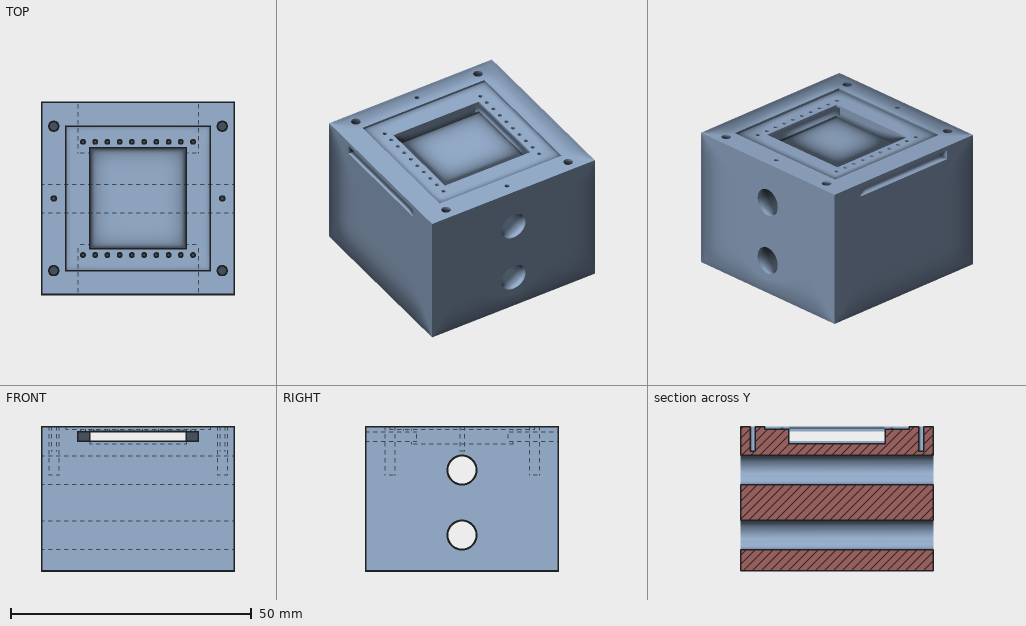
import cadquery as cq

BLOCK_SIDE = 40.0
BLOCK_HEIGHT = 30.0

RECESS_SIDE = 30.0
RECESS_DEPTH = 0.5

PASSAGE_HEIGHT = 2.0
PASSAGE_ROOF = 1.0
PASSAGE_MOUTH_WIDTH = 25.0
PASSAGE_THROAT_WIDTH = 20.0
THROAT_LENGTH = 19.0

WINDOW_LENGTH = 21.0
FLOOR_RECESS_DEPTH = 0.5

PIN_DIAMETER = 0.86
PIN_PITCH = 2.54
PINS_PER_ROW = 10
PIN_ROW_SPACING = 23.5

SCREW_DIAMETER = 2.0
SCREW_DEPTH = 10.0
SCREW_SPACING_Y = 30.0
LOCATOR_DIAMETER = 1.0
LOCATOR_DEPTH = 5.0
EDGE_HOLE_SPACING_X = 35.0

BORE_DIAMETER = 6.0
BORE_HEIGHTS = (7.5, 21.0)

passage_top = BLOCK_HEIGHT - PASSAGE_ROOF
passage_floor = passage_top - PASSAGE_HEIGHT
recess_floor = BLOCK_HEIGHT - RECESS_DEPTH


def box_between(size_x, size_y, bottom, top):
    """Box centred in X and Y that spans the given heights."""
    return cq.Workplane("XY", origin=(0, 0, bottom)).rect(size_x, size_y).extrude(top - bottom)


def holes_down(points, diameter, top, bottom):
    """Vertical cylinders at the given XY points, from top down to bottom."""
    plane = cq.Workplane("XY", origin=(0, 0, bottom))
    return plane.pushPoints(points).circle(diameter / 2).extrude(top - bottom)


def top_recess():
    return box_between(RECESS_SIDE, RECESS_SIDE, recess_floor, BLOCK_HEIGHT)


def passage():
    """Full-length passage with a narrower throat in the middle."""
    wide = box_between(PASSAGE_MOUTH_WIDTH, BLOCK_SIDE, passage_floor, passage_top)
    wide_middle = box_between(PASSAGE_MOUTH_WIDTH, THROAT_LENGTH, passage_floor, passage_top)
    throat = box_between(PASSAGE_THROAT_WIDTH, THROAT_LENGTH, passage_floor, passage_top)
    return wide.cut(wide_middle).union(throat)


def window():
    """Opening in the passage roof plus the recess below it in the passage floor."""
    roof_opening = box_between(PASSAGE_THROAT_WIDTH, WINDOW_LENGTH, passage_top, BLOCK_HEIGHT)
    floor_recess = box_between(
        PASSAGE_THROAT_WIDTH, WINDOW_LENGTH, passage_floor - FLOOR_RECESS_DEPTH, passage_floor
    )
    return roof_opening.union(floor_recess)


def pin_holes():
    first_x = -PIN_PITCH * (PINS_PER_ROW - 1) / 2
    points = [
        (first_x + index * PIN_PITCH, side * PIN_ROW_SPACING / 2)
        for side in (-1, 1)
        for index in range(PINS_PER_ROW)
    ]
    return holes_down(points, PIN_DIAMETER, recess_floor, passage_top)


def screw_holes():
    points = [
        (side_x * EDGE_HOLE_SPACING_X / 2, side_y * SCREW_SPACING_Y / 2)
        for side_x in (-1, 1)
        for side_y in (-1, 1)
    ]
    return holes_down(points, SCREW_DIAMETER, BLOCK_HEIGHT, BLOCK_HEIGHT - SCREW_DEPTH)


def locator_holes():
    points = [(side * EDGE_HOLE_SPACING_X / 2, 0) for side in (-1, 1)]
    return holes_down(points, LOCATOR_DIAMETER, BLOCK_HEIGHT, BLOCK_HEIGHT - LOCATOR_DEPTH)


def cross_bores():
    plane = cq.Workplane("YZ", origin=(-BLOCK_SIDE / 2, 0, 0))
    centres = [(0, height) for height in BORE_HEIGHTS]
    return plane.pushPoints(centres).circle(BORE_DIAMETER / 2).extrude(BLOCK_SIDE)


result = (
    box_between(BLOCK_SIDE, BLOCK_SIDE, 0, BLOCK_HEIGHT)
    .cut(top_recess())
    .cut(passage())
    .cut(window())
    .cut(pin_holes())
    .cut(screw_holes())
    .cut(locator_holes())
    .cut(cross_bores())
)